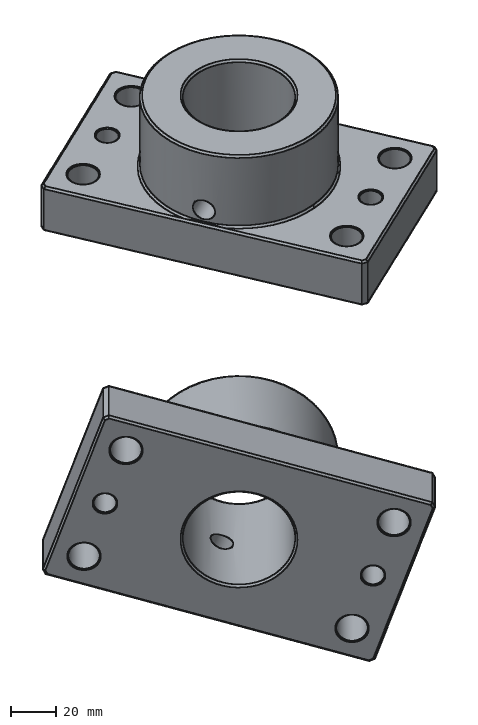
import cadquery as cq

plate_length = 155.0
plate_width = 90.0
plate_height = 25.0
corner_chamfer = 2.0
edge_break = 1.0

total_height = 65.0
boss_radius = 44.0
bore_radius = 25.0

hole_spacing_x = 125.1
hole_spacing_y = 60.0
bolt_hole_diameter = 14.0
dowel_hole_diameter = 10.0
hole_edge_break = 0.5

port_diameter = 10.5
port_height = 32.5


def make_plate():
    """Rectangular plate standing on Z = 0 with every edge broken."""
    plate = cq.Workplane("XY").box(plate_length, plate_width, plate_height, centered=(True, True, False))
    plate = plate.edges("|Z").chamfer(corner_chamfer)
    return plate.faces("<Z or >Z").edges().chamfer(edge_break)


def make_boss():
    """Round boss with a chamfered rim and a fillet at its foot."""
    foot_radius = boss_radius + edge_break
    arc_middle = edge_break * (1 - 0.5**0.5)
    boss = (
        cq.Workplane("XZ")
        .lineTo(boss_radius, 0)
        .lineTo(boss_radius, plate_height - edge_break)
        .lineTo(foot_radius, plate_height - edge_break)
        .lineTo(foot_radius, plate_height)
        .threePointArc(
            (boss_radius + arc_middle, plate_height + arc_middle),
            (boss_radius, plate_height + edge_break),
        )
        .lineTo(boss_radius, total_height - edge_break)
        .lineTo(boss_radius - edge_break, total_height)
        .lineTo(0, total_height)
        .close()
        .revolve(360, (0, 0, 0), (0, 1, 0))
    )
    flat_width = plate_width - 2 * edge_break
    limits = cq.Workplane("XY").box(plate_length, flat_width, total_height, centered=(True, True, False))
    return boss.intersect(limits)


def through_hole(radius, chamfer, top):
    """Vertical cutter from Z = 0 to top, with a countersink at both ends."""
    return (
        cq.Workplane("XZ")
        .lineTo(radius + chamfer, 0)
        .lineTo(radius, chamfer)
        .lineTo(radius, top - chamfer)
        .lineTo(radius + chamfer, top)
        .lineTo(0, top)
        .close()
        .revolve(360, (0, 0, 0), (0, 1, 0))
    )


result = make_plate().union(make_boss())
result = result.cut(through_hole(bore_radius, edge_break, total_height))

bolt_cutter = through_hole(bolt_hole_diameter / 2, hole_edge_break, plate_height)
dowel_cutter = through_hole(dowel_hole_diameter / 2, hole_edge_break, plate_height)
for side in (-1, 1):
    hole_x = side * hole_spacing_x / 2
    result = result.cut(dowel_cutter.translate((hole_x, 0, 0)))
    for end in (-1, 1):
        result = result.cut(bolt_cutter.translate((hole_x, end * hole_spacing_y / 2, 0)))

port = cq.Workplane("XZ").center(0, port_height).circle(port_diameter / 2).extrude(plate_width)
result = result.cut(port)